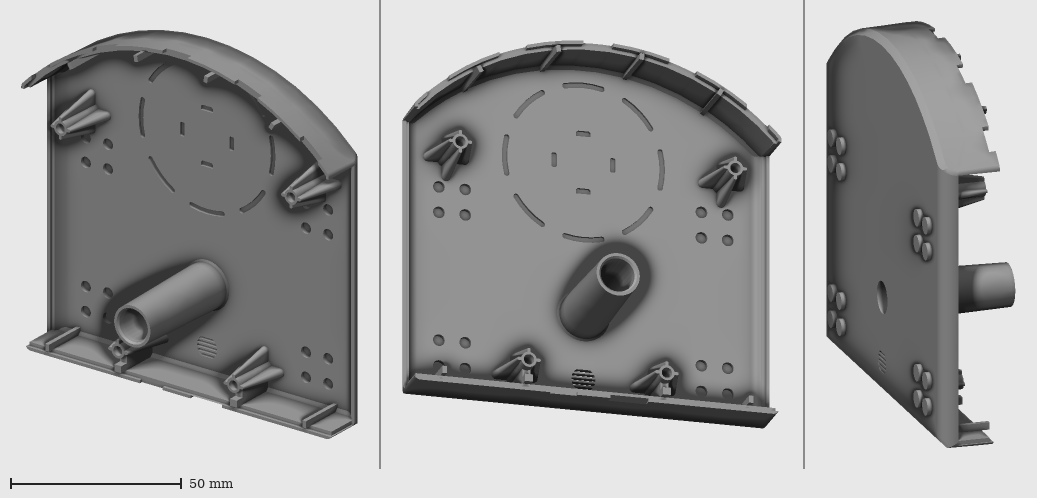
import cadquery as cq
import math


half_width = 55.9
height = 110.0
wall = 1.9
side_radius = 5.0
arch_radius = 76.2
arch_center_z = height - arch_radius
arch_depth = 17.8
arch_wall = 2.0
arch_draft = 0.6
sill_depth = 16.0
sill_wall = 2.2
sill_draft = 0.5
back_chamfer = 1.8
inner_chamfer = 1.0
sill_corner_radius = 2.2
arch_corner_radius = 1.7
side_depth = 5.0
side_top_z = 84.3
open_depth = 44.7

lip = 1.0
step_depth = 1.0
notch_depth = 2.0
arch_notches = [(-52.1, -45.4), (-30.1, -21.7), (-4.6, 4.6), (21.7, 30.1), (45.4, 52.1)]
sill_notch = (-14.1, -5.8)
sill_bevel = (4.2, 15.9)
sill_bevel_run = 2.8

tongue_angles = [-30, -10, 10, 30]
tongue_width = 1.3
tongue_reach = 4.0
tongue_depth = 19.9

rib_x = 46.7
rib_width = 1.3
rib_top_z = 4.5
post_depth = 17.4

tube_z = 30.2
tube_depth = 38.9
tube_root_radius = 7.5
tube_tip_radius = 6.6
tube_flare = 0.6
bore_back_radius = 4.9
bore_tip_radius = 5.1
bore_mouth_radius = 5.7
bore_mouth_depth = 0.6

upper_posts = [(-41.9, 74.9), (41.9, 74.9)]
lower_posts = [(-21.0, 9.0), (21.0, 9.0)]
boss_root_radius = 2.9
boss_tip_radius = 2.3
fin_root_reach = 7.0
fin_tip_reach = 3.6
fin_root_width = 2.8
fin_tip_width = 1.0
pilot_mouth_radius = 1.6
pilot_end_radius = 0.9
pilot_depth = 11.2
strut_width = 2.5
strut_depth = 14.6

foot_height = 1.5
foot_radius = 2.6
foot_hole_radius = 1.8
foot_columns = [-44.0, -36.0, 36.0, 44.0]
foot_rows = [10.1, 18.1, 57.9, 65.9]

knockout_z = 77.8
knockout_radius = 24.0
knockout_width = 1.7
knockout_half_angle = 13.5
knockout_count = 8
groove_depth = 0.9
slot_offset = 8.9
slot_length = 4.5
slot_width = 1.7
slot_corner = 0.6

vent_z = 10.2
vent_radius = 3.7
vent_slit = 0.8
vent_pitch = 1.3
vent_count = 5


def box(x_range, y_range, z_range):
    (x0, x1), (y0, y1), (z0, z1) = x_range, y_range, z_range
    return cq.Workplane("XY").box(x1 - x0, y1 - y0, z1 - z0, centered=False).translate((x0, y0, z0))


def front_plane(depth):
    """Plane at Y = -depth whose normal points to -Y (local x, y are X, Z)."""
    return cq.Workplane("XZ", origin=(0, -depth, 0))


def turned(profile, x, z):
    """Revolve (radius, depth) points about the Y-parallel axis through (x, z)."""
    points = [(radius, -depth) for radius, depth in profile]
    return cq.Workplane("XY").polyline(points).close().revolve(360, (0, 0), (0, 1)).translate((x, 0, z))


def tub(inset_side, inset_arch, inset_sill, floor, chamfer, sill_taper):
    """Cover envelope moved inward by the insets, from Y = -floor to the open front."""
    half = half_width - inset_side
    corner = side_radius - inset_side
    sides = box((-half, half), (-open_depth, -floor), (0, height)).edges("|Z and >Y").fillet(corner)

    rim = arch_radius - inset_arch
    shoulder = rim - arch_draft
    edge = floor + chamfer
    arch = turned(
        [
            (0, floor), (shoulder - chamfer, floor), (shoulder, edge),
            (rim, arch_depth), (rim, open_depth), (0, open_depth),
        ],
        0, arch_center_z,
    )

    heel = inset_sill + sill_taper
    sill_points = [
        (-floor, heel + chamfer), (-edge, heel), (-sill_depth, inset_sill),
        (-open_depth, inset_sill), (-open_depth, height), (-floor, height),
    ]
    above_sill = cq.Workplane("YZ").polyline(sill_points).close().extrude(half_width, both=True)
    return sides.intersect(arch).intersect(above_sill)


def shell():
    outer = tub(0, 0, 0, 0, back_chamfer, sill_draft)
    rounded = box((-half_width, half_width), (-arch_depth, 0), (0, height)).edges("|Y and <Z")
    outer = outer.intersect(rounded.fillet(sill_corner_radius))
    corner_z = arch_center_z + math.sqrt(arch_radius**2 - half_width**2)
    for x in (-half_width, half_width):
        corner = cq.selectors.BoxSelector(
            (x - lip, -arch_depth, side_top_z), (x + lip, -side_depth, corner_z + lip)
        )
        outer = outer.edges(corner).fillet(arch_corner_radius)
    body = outer.cut(tub(wall, arch_wall, sill_wall, wall, inner_chamfer, 0))

    full_width = (-half_width, half_width)
    body = body.cut(box(full_width, (-open_depth, -side_depth), (sill_wall, side_top_z)))
    body = body.cut(box(full_width, (-open_depth, -sill_depth), (0, sill_wall)))

    core = tub(lip, lip, lip, 0, back_chamfer, sill_draft)
    side_ledge = side_depth - step_depth
    sill_ledge = sill_depth - step_depth
    arch_ledge = arch_depth - notch_depth
    body = body.cut(core.intersect(box(full_width, (-open_depth, -side_ledge), (sill_wall, side_top_z))))
    body = body.cut(core.intersect(box(full_width, (-open_depth, -sill_ledge), (0, sill_wall))))
    body = body.cut(core.intersect(box(full_width, (-open_depth, -arch_ledge), (side_top_z, height))))

    sill_end = box((half_width - lip, half_width), (-open_depth, -side_depth), (lip, sill_wall))
    body = body.cut(sill_end).cut(sill_end.mirror("YZ"))

    for notch in arch_notches:
        body = body.cut(box(notch, (-open_depth, -arch_ledge), (side_top_z, height)))

    body = body.cut(box(sill_notch, (-open_depth, -sill_ledge), (0, sill_wall)))
    bevel_points = [(-sill_depth, lip), (-sill_depth, 0), (sill_bevel_run - sill_depth, 0)]
    bevel = cq.Workplane("YZ", origin=(sill_bevel[0], 0, 0)).polyline(bevel_points).close()
    return body.cut(bevel.extrude(sill_bevel[1] - sill_bevel[0]))


def tongue(angle):
    """Radial rib under the arch, projecting past the rim."""
    rib = box(
        (-tongue_width / 2, tongue_width / 2),
        (-tongue_depth, -wall / 2),
        (height - tongue_reach, height - arch_wall),
    )
    return rib.rotate((0, 0, arch_center_z), (0, 1, arch_center_z), angle)


def sill_rib(x, width, depth, top_z):
    return box((x - width / 2, x + width / 2), (-depth, -wall / 2), (sill_wall, top_z))


def post(x, z, fin_angles):
    """Drafted round boss with a tapering fin at each angle, 0 being toward +X and 90 toward -Z."""
    body = turned(
        [(0, wall / 2), (boss_root_radius, wall / 2), (boss_tip_radius, post_depth), (0, post_depth)], x, z,
    )
    ridge = (
        front_plane(wall)
        .slot2D(2 * fin_root_reach, fin_root_width)
        .workplane(offset=post_depth - wall)
        .slot2D(2 * fin_tip_reach, fin_tip_width)
        .loft(ruled=True)
    )
    fin = ridge.intersect(box((0, fin_root_reach), (-post_depth, 0), (-fin_root_width, fin_root_width)))
    for angle in fin_angles:
        body = body.union(fin.rotate((0, 0, 0), (0, 1, 0), angle).translate((x, 0, z)))
    return body


def pilot_hole(x, z):
    end = post_depth - pilot_depth
    return turned(
        [(0, end), (pilot_end_radius, end), (pilot_mouth_radius, post_depth), (0, post_depth)], x, z,
    )


def tube():
    return turned(
        [
            (0, wall / 2), (tube_root_radius + tube_flare, wall / 2), (tube_root_radius + tube_flare, wall),
            (tube_root_radius, wall + tube_flare), (tube_tip_radius, tube_depth), (0, tube_depth),
        ],
        0, tube_z,
    )


def tube_bore():
    return turned(
        [
            (0, 0), (bore_back_radius, 0), (bore_tip_radius, tube_depth - bore_mouth_depth),
            (bore_mouth_radius, tube_depth), (0, tube_depth),
        ],
        0, tube_z,
    )


def knockout_groove():
    """Arc groove with round ends, centred on +X of the ring."""
    inner = knockout_radius - knockout_width / 2
    outer = knockout_radius + knockout_width / 2

    def at(radius, angle):
        return radius * math.cos(math.radians(angle)), radius * math.sin(math.radians(angle))

    a = knockout_half_angle
    cap = a + math.degrees(knockout_width / 2 / knockout_radius)
    return (
        front_plane(wall - groove_depth)
        .moveTo(*at(outer, -a))
        .threePointArc(at(outer, 0), at(outer, a))
        .threePointArc(at(knockout_radius, cap), at(inner, a))
        .threePointArc(at(inner, 0), at(inner, -a))
        .threePointArc(at(knockout_radius, -cap), at(outer, -a))
        .close()
        .extrude(groove_depth)
        .translate((0, 0, knockout_z))
    )


def plate_grooves():
    groove = knockout_groove()
    center = (0, 0, knockout_z)
    axis_end = (0, 1, knockout_z)
    grooves = groove
    for i in range(1, knockout_count):
        grooves = grooves.union(groove.rotate(center, axis_end, i * 360 / knockout_count))

    flat = front_plane(wall - groove_depth).rect(slot_length, slot_width).extrude(groove_depth)
    upright = flat.edges("|Y").fillet(slot_corner).rotate((0, 0, 0), (0, 1, 0), 90)
    flat = flat.edges("|Y and >Z").chamfer(slot_corner)
    for side in (-1, 1):
        grooves = grooves.union(flat.translate((0, 0, knockout_z + side * slot_offset)))
        grooves = grooves.union(upright.translate((side * slot_offset, 0, knockout_z)))
    return grooves


def vent():
    disc = front_plane(0).circle(vent_radius).extrude(wall)
    slits = front_plane(0).rarray(1.1, vent_pitch, 1, vent_count).rect(2 * vent_radius, vent_slit).extrude(wall)
    return disc.intersect(slits).translate((0, 0, vent_z))


result = shell()

for tongue_angle in tongue_angles:
    result = result.union(tongue(tongue_angle))

for side in (-1, 1):
    result = result.union(sill_rib(side * rib_x, rib_width, post_depth, rib_top_z))

for x, z in upper_posts:
    result = result.union(post(x, z, (0, 90, 180, 270)))

for x, z in lower_posts:
    result = result.union(post(x, z, (0, 180, 270)))
    result = result.union(sill_rib(x, strut_width, strut_depth, z))
    result = result.union(sill_rib(x, strut_width, post_depth, rib_top_z))

for x, z in upper_posts + lower_posts:
    result = result.cut(pilot_hole(x, z))

result = result.union(tube()).cut(tube_bore())

foot_points = [(x, z) for x in foot_columns for z in foot_rows]
feet = front_plane(-foot_height).pushPoints(foot_points).circle(foot_radius).extrude(foot_height + wall / 2)
foot_cavity = front_plane(wall - foot_height).pushPoints(foot_points)
foot_holes = foot_cavity.circle(foot_hole_radius).extrude(foot_height)
result = result.union(feet).cut(foot_holes)

result = result.cut(plate_grooves()).cut(vent())